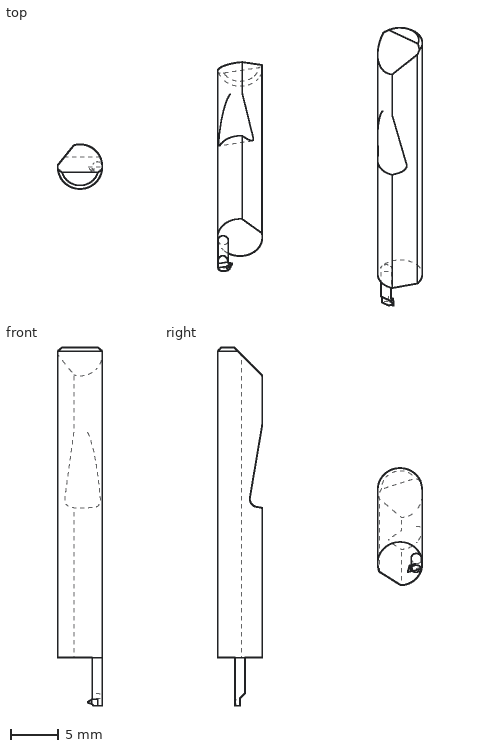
import cadquery as cq
import math

total_length = 38.1
shank_diameter = 4.75
shank_radius = shank_diameter / 2
neck_length = 5.15
end_chamfer = 0.4

flat_distance = 1.95
flat_normal_angle = 141.0
bevel_edge_y = -0.6

ramp_start_z = 29.9
ramp_length = 8.72
ramp_angle = math.radians(9.6)
notch_corner_radius = 0.85

neck_diameter = 1.1
neck_radius = neck_diameter / 2
neck_x = shank_radius - neck_radius
rake_height = 0.8

tooth_reach_x = 0.85
tooth_tip_z = 0.4
tooth_tip_width = 0.1
tooth_root_x = 1.25
tooth_root_low_z = 0.2
tooth_root_high_z = 0.7
tooth_inner_x = 1.9
tooth_corner_x = 1.45
tooth_thickness = neck_radius


def make_shank():
    shank_length = total_length - neck_length
    shank = cq.Workplane("XY").workplane(offset=neck_length).circle(shank_radius).extrude(shank_length)
    return shank.faces(">Z").chamfer(end_chamfer)


def make_flat_cutter():
    """Block whose inner face is the clamping flat."""
    block = cq.Workplane("XY").box(
        shank_diameter, 2 * shank_diameter, total_length, centered=(False, True, False)
    )
    block = block.translate((flat_distance, 0, 0))
    return block.rotate((0, 0, 0), (0, 0, 1), flat_normal_angle)


def extrude_across(points):
    """Prism along X from a (Y, Z) outline, wide enough to cross the shank."""
    return cq.Workplane("YZ").polyline(points).close().extrude(shank_diameter, both=True)


def make_bevel_cutter():
    """45 degree wedge above the upper end."""
    run = shank_diameter
    edge = (bevel_edge_y, total_length)
    return extrude_across(
        [edge, (bevel_edge_y + run, total_length - run), (bevel_edge_y + run, total_length)]
    )


def make_notch_cutter():
    """Ramp sinking toward -Z, closed by a wall square to it."""
    start = (shank_radius, ramp_start_z)
    slope_y = math.sin(ramp_angle)
    slope_z = math.cos(ramp_angle)
    corner = (start[0] - ramp_length * slope_y, start[1] - ramp_length * slope_z)
    wall = shank_radius
    wall_end = (corner[0] + wall * slope_z, corner[1] - wall * slope_y)
    outer = (start[0] + wall * slope_y, start[1] + wall * slope_z)
    notch = extrude_across([outer, corner, wall_end])
    return notch.edges("|X and <Y").fillet(notch_corner_radius)


def make_neck():
    """Pin running down to the tip, cut back to its axis plane at the rake face."""
    neck = cq.Workplane("XY").center(neck_x, 0).circle(neck_radius).extrude(neck_length)
    rake_cutter = extrude_across(
        [(0, 0), (0, rake_height), (neck_diameter, rake_height + neck_diameter), (neck_diameter, 0)]
    )
    return neck.cut(rake_cutter)


def make_tooth():
    """Pointed plate behind the rake face, its tip sloping back to the root for clearance."""
    outline = [
        (tooth_inner_x, 0),
        (tooth_corner_x, 0),
        (tooth_root_x, tooth_root_low_z),
        (tooth_reach_x, tooth_tip_z - tooth_tip_width / 2),
        (tooth_reach_x, tooth_tip_z + tooth_tip_width / 2),
        (tooth_root_x, tooth_root_high_z),
        (tooth_inner_x, tooth_root_high_z),
    ]
    tooth = cq.Workplane("XZ").polyline(outline).close().extrude(tooth_thickness)
    relief_outline = [
        (tooth_reach_x, 0),
        (tooth_root_x, -tooth_thickness),
        (tooth_reach_x, -tooth_thickness),
    ]
    relief = cq.Workplane("XY").polyline(relief_outline).close().extrude(neck_length)
    return tooth.cut(relief)


def make_corner_cutter():
    """Triangle that trims the lower -X corner of the neck in line with the tooth."""
    side = tooth_corner_x - tooth_root_x
    outline = [
        (tooth_corner_x, 0),
        (tooth_root_x, tooth_root_low_z),
        (tooth_root_x - side, 0),
    ]
    return cq.Workplane("XZ").polyline(outline).close().extrude(neck_diameter, both=True)


shank = make_shank().cut(make_flat_cutter()).cut(make_bevel_cutter()).cut(make_notch_cutter())
neck = make_neck().cut(make_corner_cutter())
result = shank.union(neck).union(make_tooth())